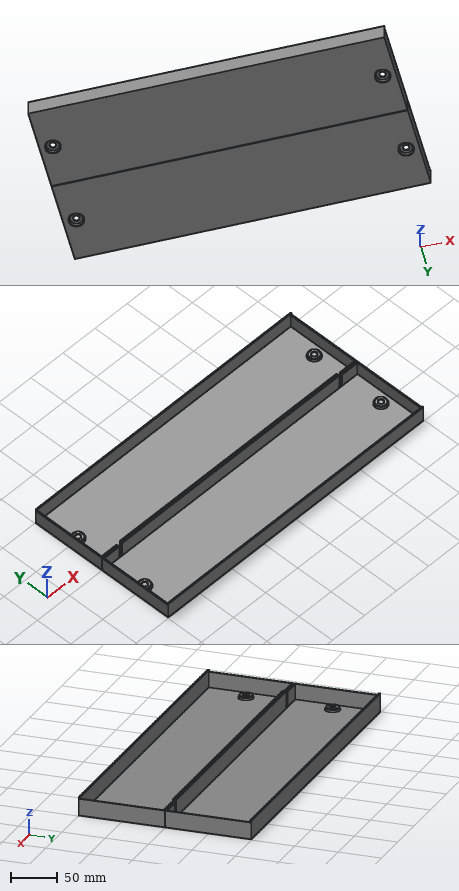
import cadquery as cq

length = 398.0
total_width = 199.0
height = 21.5

sheet = 1.5
end_wall_height = 19.5
tray_gap = 1.0
tray_width = (total_width - tray_gap) / 2

slit_width = 4.8
slit_offset = 171.5
slit_bottom = 3.0

hole_offset = 184.3
boss_diameter = 17.0
boss_top_diameter = 14.0
boss_height = 3.0
hole_diameter = 7.0


def make_tray_shell():
    """Tray lying on the +Y side of the XZ plane, open at the top."""
    tray = cq.Workplane("XY").box(length, tray_width, height, centered=(True, False, False))
    cavity = (
        cq.Workplane("XY", origin=(0, sheet, sheet))
        .box(length - 2 * sheet, tray_width - 2 * sheet, height, centered=(True, False, False))
    )
    end_relief = (
        cq.Workplane("XY", origin=(0, sheet, end_wall_height))
        .box(length, tray_width - 2 * sheet, height, centered=(True, False, False))
    )
    return tray.cut(cavity).cut(end_relief)


def cut_inner_wall(tray):
    """Slit the inner wall near both ends and lower its end pieces to the end walls."""
    end_piece_length = length / 2 - slit_offset
    for side in (-1, 1):
        slit = (
            cq.Workplane("XY", origin=(side * slit_offset, 0, slit_bottom))
            .box(slit_width, sheet, height, centered=(True, False, False))
        )
        end_step = (
            cq.Workplane("XY", origin=(side * (slit_offset + end_piece_length / 2), 0, end_wall_height))
            .box(end_piece_length, sheet, height, centered=(True, False, False))
        )
        tray = tray.cut(slit).cut(end_step)
    return tray


def make_cone(x, base_z):
    """Truncated cone with the slope of a boss, standing at a mounting hole."""
    return (
        cq.Workplane("XY", origin=(x, tray_width / 2, base_z))
        .circle(boss_diameter / 2)
        .workplane(offset=boss_height)
        .circle(boss_top_diameter / 2)
        .loft()
    )


def add_mounting_bosses(tray):
    """Press the floor up into a conical boss around each mounting hole."""
    for x in (-hole_offset, hole_offset):
        hole = (
            cq.Workplane("XY", origin=(x, tray_width / 2, 0))
            .circle(hole_diameter / 2)
            .extrude(height)
        )
        tray = tray.union(make_cone(x, sheet)).cut(make_cone(x, 0)).cut(hole)
    return tray


def make_tray():
    return add_mounting_bosses(cut_inner_wall(make_tray_shell()))


back_tray = make_tray().translate((0, tray_gap / 2, 0))
front_tray = back_tray.mirror("XZ")

result = cq.Compound.makeCompound([back_tray.val(), front_tray.val()])